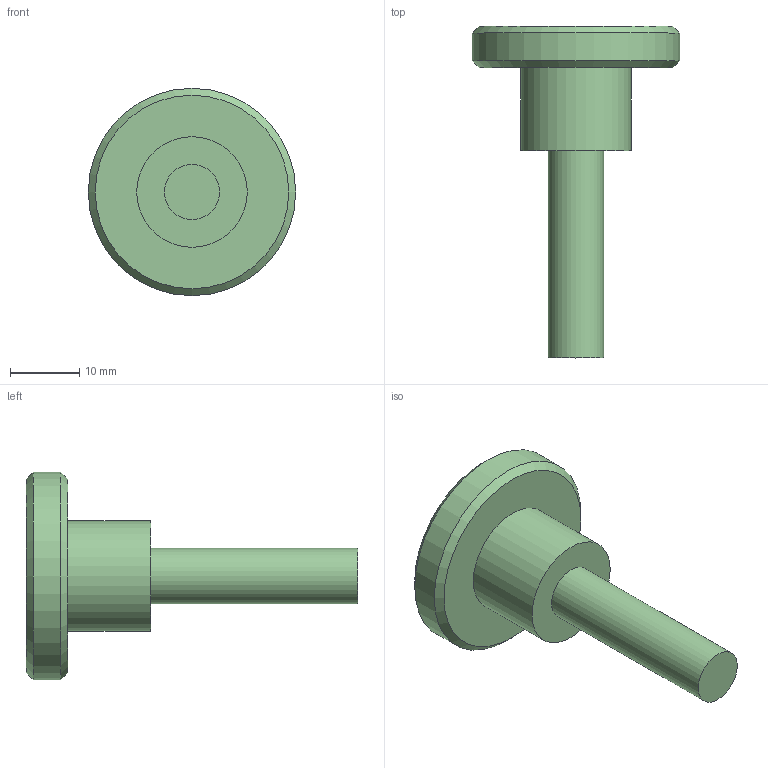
import cadquery as cq

head_diameter = 30.0
head_thickness = 6.0
head_edge_chamfer = 1.0
hub_diameter = 16.0
hub_length = 12.0
shank_diameter = 8.0
shank_length = 30.0

shank_tip_y = -shank_length
hub_end_y = 0.0
head_front_y = hub_end_y + hub_length


def cylinder_along_y(diameter, start_y, length):
    """Solid cylinder on the Y axis running from start_y towards +Y."""
    base = cq.Workplane("XZ", origin=(0, start_y, 0))
    return base.circle(diameter / 2).extrude(-length)


def make_head():
    """Disc with both rims chamfered."""
    disc = cylinder_along_y(head_diameter, head_front_y, head_thickness)
    return disc.faces("<Y or >Y").edges().chamfer(head_edge_chamfer)


hub = cylinder_along_y(hub_diameter, hub_end_y, hub_length)
shank = cylinder_along_y(shank_diameter, shank_tip_y, shank_length)

result = make_head().union(hub).union(shank)